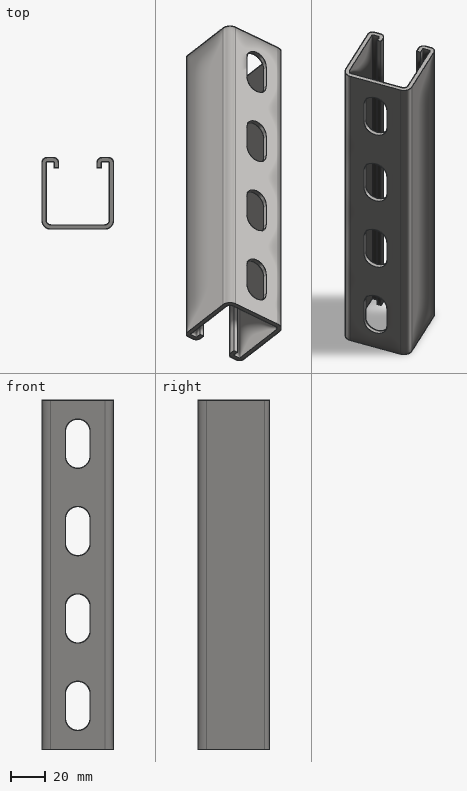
import cadquery as cq

WIDTH = 41.0
DEPTH = 41.0
LENGTH = 200.0
THICKNESS = 2.5
OPENING = 22.0
LIP_DEPTH = 6.0
BACK_INNER_RADIUS = 2.5
LIP_INNER_RADIUS = 0.5

SLOT_COUNT = 4
SLOT_PITCH = 50.0
SLOT_LENGTH = 28.0
SLOT_WIDTH = 14.0

BACK_Y = -DEPTH / 2
FRONT_Y = DEPTH / 2
BACK_OUTER_RADIUS = BACK_INNER_RADIUS + THICKNESS
LIP_OUTER_RADIUS = LIP_INNER_RADIUS + THICKNESS


def block(x_min, x_max, y_min, y_max):
    """Full-length rectangular bar between the given X and Y limits."""
    return (
        cq.Workplane("XY")
        .box(x_max - x_min, y_max - y_min, LENGTH, centered=False)
        .translate((x_min, y_min, 0))
    )


def make_outer_envelope():
    """Solid bar with the outer bend radii on its four long corners."""
    bar = block(-WIDTH / 2, WIDTH / 2, BACK_Y, FRONT_Y)
    bar = bar.edges("|Z and <Y").fillet(BACK_OUTER_RADIUS)
    return bar.edges("|Z and >Y").fillet(LIP_OUTER_RADIUS)


def make_cavity():
    """Hollow inside the walls, with the inner bend radii on its corners."""
    half_width = WIDTH / 2 - THICKNESS
    cavity = block(-half_width, half_width, BACK_Y + THICKNESS, FRONT_Y - THICKNESS)
    cavity = cavity.edges("|Z and <Y").fillet(BACK_INNER_RADIUS)
    return cavity.edges("|Z and >Y").fillet(LIP_INNER_RADIUS)


def make_lip(side):
    """Strip folded inward beside the opening; side is -1 or +1 along X."""
    x_edge = side * OPENING / 2
    x_inside = x_edge + side * THICKNESS
    x_min = min(x_edge, x_inside)
    x_max = max(x_edge, x_inside)
    return block(x_min, x_max, FRONT_Y - LIP_DEPTH, FRONT_Y)


def round_lip_bends(channel):
    """Round the outer and inner corners where the flanges fold into the lips."""
    for side in (-1, 1):
        x_edge = side * OPENING / 2
        outer_corner = cq.selectors.NearestToPointSelector((x_edge, FRONT_Y, LENGTH / 2))
        channel = channel.edges(outer_corner).fillet(LIP_OUTER_RADIUS)
        inner_point = (x_edge + side * THICKNESS, FRONT_Y - THICKNESS, LENGTH / 2)
        inner_corner = cq.selectors.NearestToPointSelector(inner_point)
        channel = channel.edges(inner_corner).fillet(LIP_INNER_RADIUS)
    return channel


def make_channel():
    """C-shaped channel with its opening toward +Y and two inward lips."""
    channel = make_outer_envelope().cut(make_cavity())
    opening = block(-OPENING / 2, OPENING / 2, FRONT_Y - THICKNESS, FRONT_Y)
    channel = channel.cut(opening)
    for side in (-1, 1):
        channel = channel.union(make_lip(side))
    return round_lip_bends(channel)


def make_slots():
    """Row of upright slots that pierce the back wall only."""
    first_z = (LENGTH - (SLOT_COUNT - 1) * SLOT_PITCH) / 2
    centres = [(0, first_z + i * SLOT_PITCH) for i in range(SLOT_COUNT)]
    return (
        cq.Workplane("XZ", origin=(0, BACK_Y + THICKNESS, 0))
        .pushPoints(centres)
        .slot2D(SLOT_LENGTH, SLOT_WIDTH, 90)
        .extrude(THICKNESS)
    )


result = make_channel().cut(make_slots())